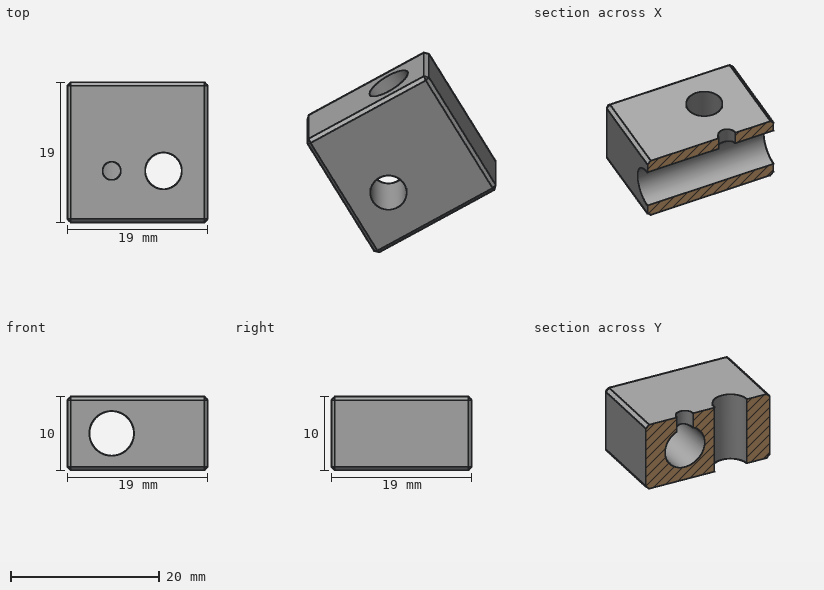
import cadquery as cq

width = 19.0
depth = 19.0
height = 10.0
edge_chamfer = 0.5

cross_bore_diameter = 6.0
cross_bore_x = -3.5

vertical_holes_y = -2.5
through_hole_diameter = 4.92
through_hole_x = 3.5
set_screw_hole_diameter = 2.46
set_screw_hole_x = cross_bore_x


def chamfered_block():
    return cq.Workplane("XY").box(width, depth, height).edges().chamfer(edge_chamfer)


def cross_bore():
    return (
        cq.Workplane("XZ")
        .center(cross_bore_x, 0)
        .circle(cross_bore_diameter / 2)
        .extrude(depth / 2, both=True)
    )


def vertical_hole(x, diameter, bottom_z):
    """Cylinder from bottom_z up to the top face of the block."""
    return (
        cq.Workplane("XY", origin=(x, vertical_holes_y, bottom_z))
        .circle(diameter / 2)
        .extrude(height / 2 - bottom_z)
    )


through_hole = vertical_hole(through_hole_x, through_hole_diameter, -height / 2)

set_screw_hole = vertical_hole(set_screw_hole_x, set_screw_hole_diameter, 0)

result = chamfered_block().cut(cross_bore()).cut(through_hole).cut(set_screw_hole)